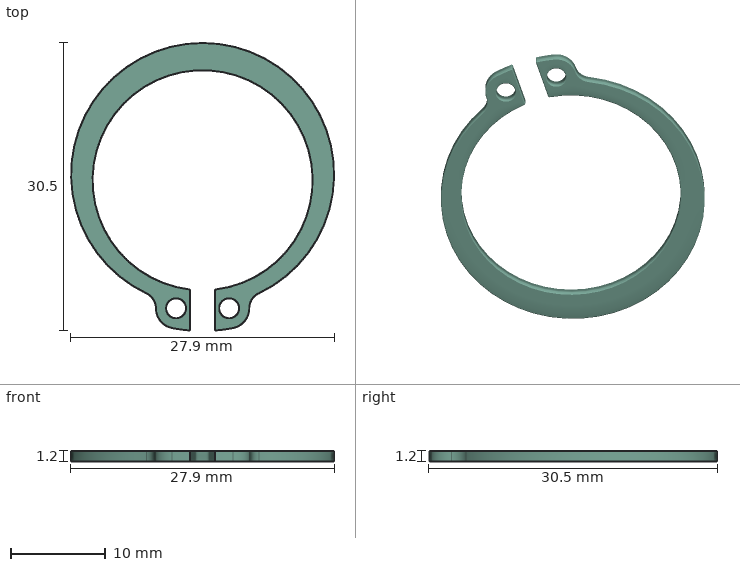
import cadquery as cq
import math

length = 30.48
outer_radius = 27.9 / 2
inner_radius = 11.58
inner_offset = 0.6
thickness = 1.2
half_gap = 1.28
hole_diameter = 2.0
hole_x = 2.8
hole_y = -14.15
edge_chamfer = 0.1

end_y = outer_radius - length
end_radius = math.hypot(half_gap + edge_chamfer, end_y)
hole_distance = math.hypot(hole_x, hole_y)
lug_radius = end_radius - hole_distance
lug_side_x = hole_x + lug_radius

neck_radius = (lug_side_x**2 + hole_y**2 - outer_radius**2) / (2 * (outer_radius - lug_side_x))
neck_x = lug_side_x + neck_radius


def toward(x, y, distance):
    """Point at a distance from the origin in the direction of (x, y)."""
    scale = distance / math.hypot(x, y)
    return x * scale, y * scale


def mirrored(point):
    return -point[0], point[1]


def point_on_circle(center, radius, angle):
    return center[0] + radius * math.cos(angle), center[1] + radius * math.sin(angle)


gap_inner = (half_gap, -inner_offset - math.sqrt(inner_radius**2 - half_gap**2))
gap_end = (half_gap, -math.sqrt(end_radius**2 - half_gap**2))
lug_start = toward(hole_x, hole_y, end_radius)
lug_side = (lug_side_x, hole_y)
ring_start = toward(neck_x, hole_y, outer_radius)

end_middle = toward(gap_end[0] + lug_start[0], gap_end[1] + lug_start[1], end_radius)
lug_middle = point_on_circle((hole_x, hole_y), lug_radius, math.atan2(hole_y, hole_x) / 2)
neck_angle = math.atan2(-hole_y, -neck_x)
neck_middle = point_on_circle((neck_x, hole_y), neck_radius, (neck_angle + math.pi) / 2)

outline = (
    cq.Workplane("XY")
    .moveTo(*gap_inner)
    .lineTo(*gap_end)
    .threePointArc(end_middle, lug_start)
    .threePointArc(lug_middle, lug_side)
    .threePointArc(neck_middle, ring_start)
    .threePointArc((0, outer_radius), mirrored(ring_start))
    .threePointArc(mirrored(neck_middle), mirrored(lug_side))
    .threePointArc(mirrored(lug_middle), mirrored(lug_start))
    .threePointArc(mirrored(end_middle), mirrored(gap_end))
    .lineTo(*mirrored(gap_inner))
    .threePointArc((0, inner_radius - inner_offset), gap_inner)
    .close()
)
ring = outline.extrude(thickness)

ring = ring.faces("|X").edges("|Z").chamfer(edge_chamfer)

holes = (
    cq.Workplane("XY")
    .pushPoints([(hole_x, hole_y), (-hole_x, hole_y)])
    .circle(hole_diameter / 2)
    .extrude(thickness)
)

result = ring.cut(holes).faces("|Z").edges().chamfer(edge_chamfer)